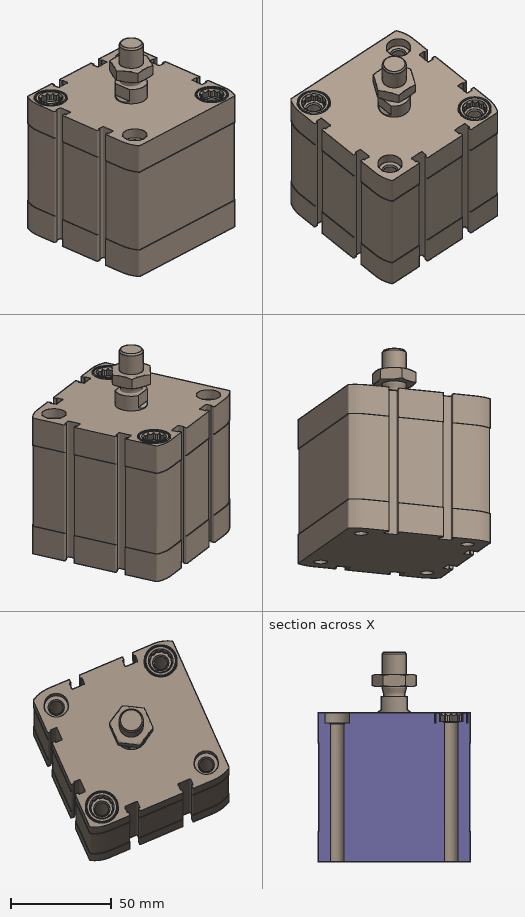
import cadquery as cq
import math

cap_width = 75.5
cap_height = 15.0
barrel_inset = 0.3
housing_height = 74.0
corner_arc_start = 28.25
corner_arc_radius = 18.4
corner_edge_radius = 1.0

slot_offset = 14.4
slot_mouth_width = 5.3
slot_inner_width = 6.8
slot_lip = 1.9
slot_depth = 5.2
slot_corner_radius = 0.3
slot_mouth_radius = 0.3

hole_spacing = 56.5
hole_diameter = 6.65
hole_chamfer_diameter = 8.0
counterbore_diameter = 12.0
counterbore_depth = 5.0

screw_recess_diameter = 16.4
screw_head_diameter = 15.5
screw_head_height = 5.0
screw_head_chamfer = 0.45
socket_rim_diameter = 12.2
socket_across_flats = 10.0
socket_bore_diameter = 10.65
socket_depth = 4.3
socket_chamfer_angle = 30.0

rod_diameter = 16.0
rod_length = 8.0
rod_across_flats = 13.0
rod_flat_length = 6.5
rod_flat_runout = 1.2
neck_diameter = 10.65
neck_length = 1.5
neck_taper_length = 2.5
neck_base_radius = 0.4
neck_taper_radius = 1.5
thread_diameter = 12.0
thread_length = 22.0
thread_tip_diameter = 10.65
thread_tip_length = 1.0

nut_across_flats = 19.0
nut_height = 6.0
nut_to_rod_tip = 11.05
nut_chamfer_angle = 18.0

rod_shoulder_z = housing_height + rod_length
rod_tip_z = rod_shoulder_z + thread_length
nut_base_z = rod_tip_z - nut_to_rod_tip - nut_height
hole_place = hole_spacing / 2
plain_corners = [(-hole_place, hole_place), (hole_place, -hole_place)]
screw_corners = [(-hole_place, -hole_place), (hole_place, hole_place)]


def revolve_profile(points):
    """Solid of revolution about Z from (radius, z) points."""
    return cq.Workplane("XZ").polyline(points).close().revolve(360, (0, 0), (0, 1))


def profile_block(inset, base_z, height):
    """Block with bulged corners; its faces lie `inset` inside the cap faces."""
    half = cap_width / 2 - inset
    arc_run = half - corner_arc_start
    arc_drop = corner_arc_radius - math.sqrt(corner_arc_radius**2 - arc_run**2)
    arc_end = half - arc_drop
    start = corner_arc_start
    bulge = corner_arc_radius
    return (
        cq.Workplane("XY", origin=(0, 0, base_z))
        .moveTo(-start, half)
        .lineTo(start, half)
        .radiusArc((half, arc_end), bulge)
        .lineTo(half, -arc_end)
        .radiusArc((start, -half), bulge)
        .lineTo(-start, -half)
        .radiusArc((-half, -arc_end), bulge)
        .lineTo(-half, arc_end)
        .radiusArc((-start, half), bulge)
        .close()
        .extrude(height)
        .edges("|Z and (>X or <X)")
        .fillet(corner_edge_radius)
    )


def slot_cutter(inset, base_z, height):
    """T-slot with a rounded mouth, opening at X = 0 through a -Y face `inset` inside the cap face."""
    cap_face = -cap_width / 2
    face = cap_face + inset
    lip_end = cap_face + slot_lip
    half_mouth = slot_mouth_width / 2
    flare = half_mouth + slot_mouth_radius
    mouth_start = face + slot_mouth_radius
    mouth = (
        cq.Workplane("XY", origin=(0, 0, base_z))
        .moveTo(-flare, face)
        .radiusArc((-half_mouth, mouth_start), -slot_mouth_radius)
        .lineTo(-half_mouth, lip_end)
        .lineTo(half_mouth, lip_end)
        .lineTo(half_mouth, mouth_start)
        .radiusArc((flare, face), -slot_mouth_radius)
        .close()
        .extrude(height)
    )
    inner_depth = slot_depth - slot_lip
    inner = (
        cq.Workplane("XY", origin=(0, 0, base_z))
        .center(0, lip_end + inner_depth / 2)
        .rect(slot_inner_width, inner_depth)
        .extrude(height)
        .edges("|Z and >Y")
        .fillet(slot_corner_radius)
    )
    return mouth.union(inner)


def slotted_block(inset, base_z, height):
    """Section of the housing with slots in its -Y, +Y and -X faces; the +X face stays plain."""
    block = profile_block(inset, base_z, height)
    slot = slot_cutter(inset, base_z, height)
    for face_turn in (0, 180, -90):
        for offset in (-slot_offset, slot_offset):
            placed_slot = slot.translate((offset, 0, 0)).rotate((0, 0, 0), (0, 0, 1), face_turn)
            block = block.cut(placed_slot)
    return block


def chamfered_hole(floor_z):
    """Through hole with a 45 degree chamfer at the recess floor."""
    radius = hole_diameter / 2
    mouth_radius = hole_chamfer_diameter / 2
    return revolve_profile([
        (0, 0),
        (radius, 0),
        (radius, floor_z - (mouth_radius - radius)),
        (mouth_radius, floor_z),
        (0, floor_z),
    ])


def plain_hole_cutter():
    """Counterbored mounting hole."""
    floor_z = housing_height - counterbore_depth
    counterbore = (
        cq.Workplane("XY", origin=(0, 0, floor_z))
        .circle(counterbore_diameter / 2)
        .extrude(counterbore_depth)
    )
    return chamfered_hole(floor_z).union(counterbore)


def screw_cutter():
    """Ring gap around a chamfered screw head, its double-hexagon socket and its through hole."""
    floor_z = housing_height - socket_depth
    socket_bore = (
        cq.Workplane("XY", origin=(0, 0, floor_z))
        .circle(socket_bore_diameter / 2)
        .extrude(socket_depth)
    )
    cutter = chamfered_hole(floor_z).union(socket_bore)

    corner_diameter = socket_across_flats / math.cos(math.radians(30))
    for turn in (0, 30):
        hexagon = (
            cq.Workplane("XY", origin=(0, 0, floor_z))
            .polygon(6, corner_diameter)
            .extrude(socket_depth)
            .rotate((0, 0, 0), (0, 0, 1), turn)
        )
        cutter = cutter.union(hexagon)

    rim_radius = socket_rim_diameter / 2
    flat_radius = socket_across_flats / 2
    chamfer_depth = (rim_radius - flat_radius) / math.tan(math.radians(socket_chamfer_angle))
    cutter = cutter.union(revolve_profile([
        (0, housing_height),
        (rim_radius, housing_height),
        (flat_radius, housing_height - chamfer_depth),
        (0, housing_height - chamfer_depth),
    ]))

    recess_radius = screw_recess_diameter / 2
    head_radius = screw_head_diameter / 2
    gap_base_z = housing_height - screw_head_height
    gap = revolve_profile([
        (recess_radius, gap_base_z),
        (recess_radius, housing_height),
        (head_radius - screw_head_chamfer, housing_height),
        (head_radius, housing_height - screw_head_chamfer),
        (head_radius, gap_base_z),
    ])
    return cutter.union(gap)


def make_housing():
    barrel_height = housing_height - 2 * cap_height
    body = slotted_block(barrel_inset, cap_height, barrel_height)
    for base_z in (0, housing_height - cap_height):
        body = body.union(slotted_block(0, base_z, cap_height))

    for x, y in plain_corners:
        body = body.cut(plain_hole_cutter().translate((x, y, 0)))
    for x, y in screw_corners:
        body = body.cut(screw_cutter().translate((x, y, 0)))
    return body


def make_rod():
    """Rod standing on the housing, with wrench flats, a necked shoulder and a threaded end."""
    neck_top_z = rod_shoulder_z + neck_length
    rod = revolve_profile([
        (0, housing_height),
        (rod_diameter / 2, housing_height),
        (rod_diameter / 2, rod_shoulder_z),
        (neck_diameter / 2, rod_shoulder_z),
        (neck_diameter / 2, neck_top_z),
        (thread_diameter / 2, neck_top_z + neck_taper_length),
        (thread_diameter / 2, rod_tip_z - thread_tip_length),
        (thread_tip_diameter / 2, rod_tip_z),
        (0, rod_tip_z),
    ])
    level_margin = 0.1
    for z, blend_radius in ((rod_shoulder_z, neck_base_radius), (neck_top_z, neck_taper_radius)):
        around_axis = cq.selectors.BoxSelector((-1, -1, z - level_margin), (1, 1, z + level_margin))
        smallest = cq.selectors.RadiusNthSelector(0)
        rod = rod.edges("%CIRCLE").edges(around_axis).edges(smallest).fillet(blend_radius)

    flat = rod_across_flats / 2
    radius = rod_diameter / 2
    flat_base_z = rod_shoulder_z - rod_flat_length
    flat_cutter = (
        cq.Workplane("YZ", origin=(-radius, 0, 0))
        .polyline([
            (flat, rod_shoulder_z),
            (flat, flat_base_z),
            (radius, flat_base_z - rod_flat_runout),
            (radius, rod_shoulder_z),
        ])
        .close()
        .extrude(rod_diameter)
    )
    return rod.cut(flat_cutter).cut(flat_cutter.mirror("XZ"))


def make_nut():
    """Hexagon nut with corners on the Y axis and both ends chamfered."""
    corner_diameter = nut_across_flats / math.cos(math.radians(30))
    hexagon = (
        cq.Workplane("XY", origin=(0, 0, nut_base_z))
        .polygon(6, corner_diameter)
        .extrude(nut_height)
        .rotate((0, 0, 0), (0, 0, 1), 30)
    )

    corner_radius = corner_diameter / 2
    face_radius = nut_across_flats / 2
    drop = (corner_radius - face_radius) * math.tan(math.radians(nut_chamfer_angle))
    top_z = nut_base_z + nut_height
    envelope = revolve_profile([
        (0, nut_base_z),
        (face_radius, nut_base_z),
        (corner_radius, nut_base_z + drop),
        (corner_radius, top_z - drop),
        (face_radius, top_z),
        (0, top_z),
    ])
    bore = cq.Workplane("XY", origin=(0, 0, nut_base_z)).circle(thread_diameter / 2).extrude(nut_height)
    return hexagon.intersect(envelope).cut(bore)


housing = make_housing()
piston_rod = make_rod()
lock_nut = make_nut()

bodies = [housing, piston_rod, lock_nut]
result = cq.Compound.makeCompound([body.solids().val() for body in bodies])